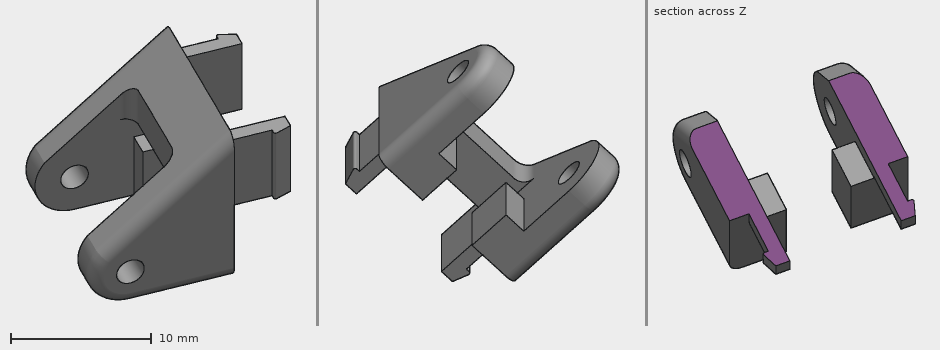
import cadquery as cq
import math

width = 13.83
body_depth = 10.91
overall_depth = 15.75
height = 13.1
nose_radius = 3.01
nose_end_angle = 41
pin_diameter = 2.1
edge_radius = 1.0

gap_width = 8.58
web_depth = 3.4
web_underside = 7.28
gap_corner_radius = 1.0

block_width = 1.8
block_height = 5.39
block_depth = 3.4

tab_thickness = 1.12
tab_bottom = 5.5
tab_height = 6.1
barb_length = 1.4
barb_reach = 0.49
barb_radius = 0.15

gap_half = gap_width / 2
web_front = body_depth - web_depth
tab_outer = gap_half + tab_thickness


def nose_point(angle):
    """Point (Y, Z) on the nose, at an angle in degrees above its forward direction."""
    return (
        nose_radius - nose_radius * math.cos(math.radians(angle)),
        nose_radius + nose_radius * math.sin(math.radians(angle)),
    )


def sloped_body():
    """Wedge with a round nose; its sloped top meets the nose at a slight edge."""
    middle_angle = (nose_end_angle - 90) / 2
    body = (
        cq.Workplane("YZ")
        .moveTo(body_depth, 0)
        .lineTo(body_depth, height)
        .lineTo(*nose_point(nose_end_angle))
        .threePointArc(nose_point(middle_angle), (nose_radius, 0))
        .close()
        .extrude(width / 2, both=True)
    )
    return body.faces("<X or >X").edges("not(>Y)").fillet(edge_radius)


def gap_cut():
    """Space between the arms, with a web left across the upper back."""
    upper = (
        cq.Workplane("XY")
        .rect(gap_width, 2 * web_front)
        .extrude(height)
        .edges("|Z and >Y")
        .fillet(gap_corner_radius)
    )
    lower = cq.Workplane("XY").box(
        gap_width, body_depth, web_underside, centered=(True, False, False)
    )
    return upper.union(lower)


def inner_block():
    """Low block on the inside of the right arm, flush with the back face."""
    return (
        cq.Workplane("XY")
        .box(block_width, block_depth, block_height, centered=False)
        .translate((gap_half - block_width, body_depth - block_depth, 0))
    )


def snap_tab():
    """Right rear tab with a rounded barb on its outer side."""
    tab = (
        cq.Workplane("XY", origin=(0, 0, tab_bottom))
        .moveTo(gap_half, body_depth)
        .lineTo(gap_half, overall_depth)
        .lineTo(tab_outer, overall_depth)
        .lineTo(tab_outer + barb_reach, overall_depth - barb_length)
        .lineTo(tab_outer, overall_depth - barb_length)
        .lineTo(tab_outer, body_depth)
        .close()
        .extrude(tab_height)
    )
    return tab.edges("|Z and >X").fillet(barb_radius)


pin_hole = (
    cq.Workplane("YZ")
    .center(nose_radius, nose_radius)
    .circle(pin_diameter / 2)
    .extrude(width, both=True)
)

result = sloped_body().cut(gap_cut()).cut(pin_hole)
for feature in (inner_block(), snap_tab()):
    result = result.union(feature).union(feature.mirror("YZ"))